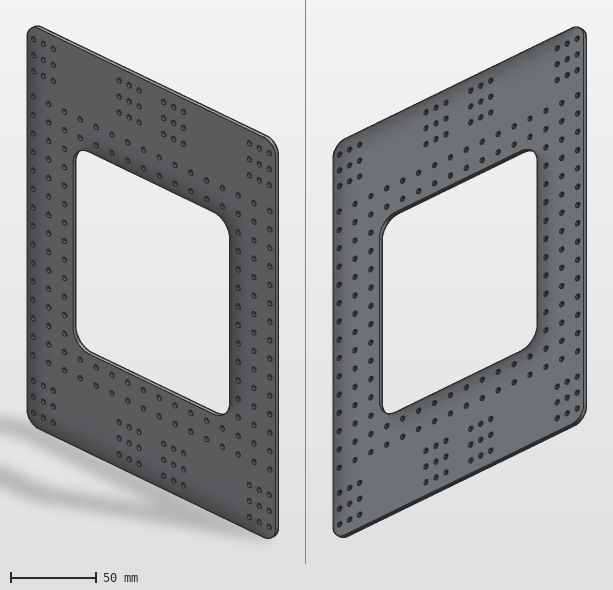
import cadquery as cq

plate_width = 200.2
plate_height = 275.0
plate_thickness = 2.5
plate_corner_radius = 9.5

window_width = 126.0
window_height = 139.0
window_corner_radius = 13.0

grid_hole_diameter = 3.3
grid_columns = 16
grid_rows = 15
grid_width = 190.5
grid_pitch = grid_width / (grid_columns - 1)

cluster_hole_diameter = 3.3
cluster_size = 3
cluster_pitch_x = 8.0
cluster_pitch_z = 11.0
inner_cluster_x = 18.0
outer_cluster_x = 87.0
cluster_z = 117.5


def rounded_block(width, height, corner_radius):
    """Block of plate thickness with rounded corners, centred on the origin."""
    block = cq.Workplane("XZ").rect(width, height).extrude(plate_thickness / 2, both=True)
    return block.edges("|Y").fillet(corner_radius)


def centred_grid(columns, rows, pitch_x, pitch_z):
    """Points of a rectangular grid centred on the origin."""
    return [
        ((column - (columns - 1) / 2) * pitch_x, (row - (rows - 1) / 2) * pitch_z)
        for column in range(columns)
        for row in range(rows)
    ]


def pins(points, diameter):
    """Cylinders through the plate thickness, used to cut holes."""
    sketch = cq.Workplane("XZ").pushPoints(points).circle(diameter / 2)
    return sketch.extrude(plate_thickness, both=True)


def outside_window(point):
    x, z = point
    return abs(x) > window_width / 2 or abs(z) > window_height / 2


grid_points = [
    point
    for point in centred_grid(grid_columns, grid_rows, grid_pitch, grid_pitch)
    if outside_window(point)
]

cluster_points = [
    (center_x + offset_x, center_z + offset_z)
    for center_x in (-outer_cluster_x, -inner_cluster_x, inner_cluster_x, outer_cluster_x)
    for center_z in (-cluster_z, cluster_z)
    for offset_x, offset_z in centred_grid(cluster_size, cluster_size, cluster_pitch_x, cluster_pitch_z)
]

plate = rounded_block(plate_width, plate_height, plate_corner_radius)
window = rounded_block(window_width, window_height, window_corner_radius)

result = (
    plate.cut(window)
    .cut(pins(grid_points, grid_hole_diameter))
    .cut(pins(cluster_points, cluster_hole_diameter))
)